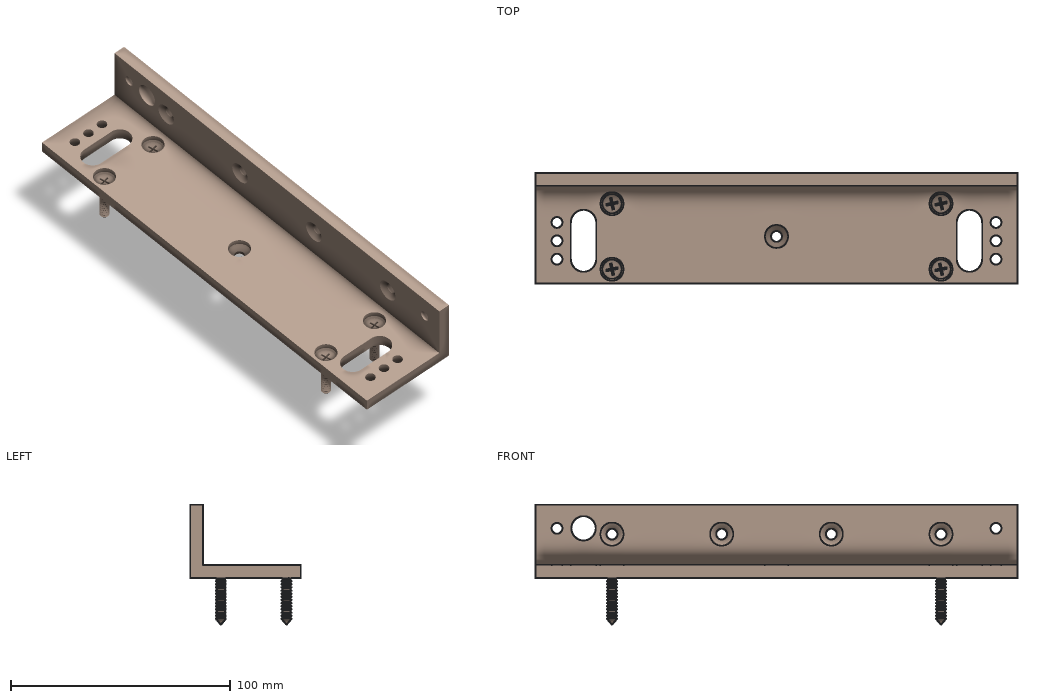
import cadquery as cq

LENGTH = 220.0
DEPTH = 50.5
HEIGHT = 33.5
THICKNESS = 6.0

BORE_DIAMETER = 4.8
SINK_DIAMETER = 10.5
SINK_CONE_DEPTH = 2.0
BASE_SINK_RECESS = 2.5

SCREW_X = 75.0
SCREW_SPACING_Y = 30.0
BASE_CENTRE_Y = 21.5
SLOT_X = 88.0
SLOT_WIDTH = 11.5
SLOT_LENGTH = 28.2
SMALL_DIAMETER = 4.8
SMALL_X = 100.0
SMALL_SPACING_Y = 8.4
SMALL_COUNT = 3
END_CENTRE_Y = 19.5

WALL_SINK_Z = 20.0
WALL_SINK_COUNT = 4
WALL_HOLE_Z = 22.7
CABLE_HOLE_X = -88.0
CABLE_HOLE_DIAMETER = 11.0

HEAD_DIAMETER = 8.8
THREAD_DIAMETER = 4.6
THREAD_ROOT_DIAMETER = 3.5
THREAD_PITCH = 1.43
THREAD_TURNS = 13
SCREW_REACH = 21.3
CROSS_SPAN = 5.3
CROSS_ARM_WIDTH = 0.9
CROSS_TAPER = 8.0
CROSS_DEPTH = 2.2
CROSS_ANGLE = 12.0

SCREW_PLACES = [
    (x, BASE_CENTRE_Y + side * SCREW_SPACING_Y / 2)
    for x in (-SCREW_X, SCREW_X)
    for side in (-1, 1)
]


def countersink_cutter(recess):
    """Countersunk hole through one plate: it runs down from Z = 0 and its cone starts `recess` deep."""
    bore_radius = BORE_DIAMETER / 2
    sink_radius = SINK_DIAMETER / 2
    cone_bottom = recess + SINK_CONE_DEPTH
    profile = [
        (0, -recess),
        (sink_radius, -recess),
        (bore_radius, -cone_bottom),
        (bore_radius, -THICKNESS),
        (0, -THICKNESS),
    ]
    cutter = cq.Workplane("XZ").polyline(profile).close().revolve(360, (0, 0, 0), (0, 1, 0))
    if recess > 0:
        cutter = cutter.union(cq.Workplane("XY").circle(sink_radius).extrude(-recess))
    return cutter


def base_cutters():
    """Everything that goes down through the base."""
    sink = countersink_cutter(BASE_SINK_RECESS)
    sink_places = SCREW_PLACES + [(0, BASE_CENTRE_Y)]
    cutters = [sink.translate((x, y, THICKNESS)) for x, y in sink_places]
    for side in (-1, 1):
        cutters.append(
            cq.Workplane("XY")
            .center(side * SLOT_X, END_CENTRE_Y)
            .slot2D(SLOT_LENGTH, SLOT_WIDTH, 90)
            .extrude(THICKNESS)
        )
        cutters.append(
            cq.Workplane("XY")
            .center(side * SMALL_X, END_CENTRE_Y)
            .rarray(2.2, SMALL_SPACING_Y, 1, SMALL_COUNT)
            .circle(SMALL_DIAMETER / 2)
            .extrude(THICKNESS)
        )
    return cutters


def wall_cutters():
    """Everything that goes back through the upright wall."""
    wall_front = DEPTH - THICKNESS
    sink = countersink_cutter(0).rotate((0, 0, 0), (1, 0, 0), 90)
    spacing = 2 * SCREW_X / (WALL_SINK_COUNT - 1)
    cutters = [
        sink.translate((-SCREW_X + i * spacing, wall_front, WALL_SINK_Z))
        for i in range(WALL_SINK_COUNT)
    ]
    plain_holes = [
        (-SMALL_X, SMALL_DIAMETER),
        (SMALL_X, SMALL_DIAMETER),
        (CABLE_HOLE_X, CABLE_HOLE_DIAMETER),
    ]
    for x, diameter in plain_holes:
        cutters.append(
            cq.Workplane("XZ", origin=(x, DEPTH, WALL_HOLE_Z))
            .circle(diameter / 2)
            .extrude(THICKNESS)
        )
    return cutters


def make_bracket():
    bracket = (
        cq.Workplane("YZ", origin=(-LENGTH / 2, 0, 0))
        .polyline([
            (0, 0),
            (DEPTH, 0),
            (DEPTH, HEIGHT),
            (DEPTH - THICKNESS, HEIGHT),
            (DEPTH - THICKNESS, THICKNESS),
            (0, THICKNESS),
        ])
        .close()
        .extrude(LENGTH)
    )
    for cutter in base_cutters() + wall_cutters():
        bracket = bracket.cut(cutter)
    return bracket


def cross_recess(head_top):
    """Cross-shaped driver recess that goes down from the top of the head."""
    cross = cq.Workplane("XY", origin=(0, 0, head_top))
    arm = cross.rect(CROSS_SPAN, CROSS_ARM_WIDTH).extrude(-CROSS_DEPTH, taper=CROSS_TAPER)
    other_arm = cross.rect(CROSS_ARM_WIDTH, CROSS_SPAN).extrude(-CROSS_DEPTH, taper=CROSS_TAPER)
    return arm.union(other_arm).rotate((0, 0, 0), (0, 0, 1), CROSS_ANGLE)


def make_screw():
    """Countersunk screw on the Z axis, seated in a bracket whose underside is Z = 0."""
    crest = THREAD_DIAMETER / 2
    root = THREAD_ROOT_DIAMETER / 2
    shank = BORE_DIAMETER / 2
    head_radius = HEAD_DIAMETER / 2
    cone_bottom = THICKNESS - BASE_SINK_RECESS - SINK_CONE_DEPTH
    cone_slope = SINK_CONE_DEPTH / (SINK_DIAMETER / 2 - shank)
    head_top = cone_bottom + (head_radius - shank) * cone_slope
    profile = [
        (0, head_top),
        (head_radius, head_top),
        (shank, cone_bottom),
        (shank, 0),
        (crest, 0),
    ]
    for turn in range(THREAD_TURNS):
        profile.append((root, -(turn + 0.5) * THREAD_PITCH))
        profile.append((crest, -(turn + 1) * THREAD_PITCH))
    profile.append((root, -(THREAD_TURNS + 0.5) * THREAD_PITCH))
    profile.append((0, -SCREW_REACH))
    body = cq.Workplane("XZ").polyline(profile).close().revolve(360, (0, 0, 0), (0, 1, 0))
    return body.cut(cross_recess(head_top))


bracket = make_bracket()
screw = make_screw()
screws = [screw.translate((x, y, 0)) for x, y in SCREW_PLACES]

result = cq.Compound.makeCompound([bracket.val(), *[s.val() for s in screws]])